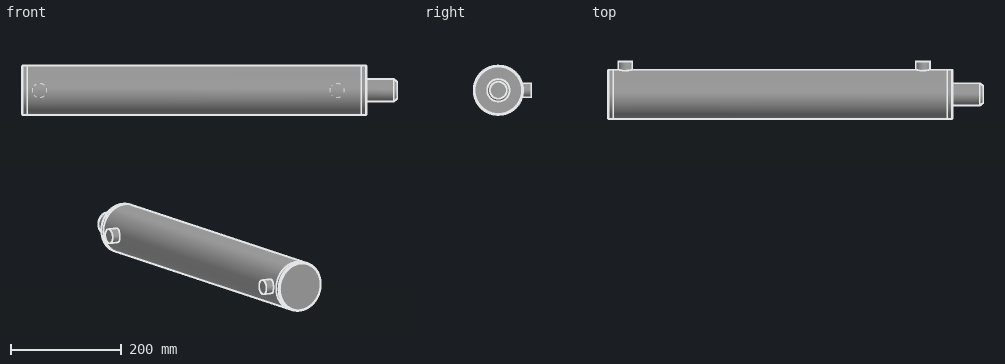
import cadquery as cq

total_length = 680.0

barrel_diameter = 90.0
body_length = 625.0
end_thickness = 10.0
end_chamfer = 2.0

rod_diameter = 41.0
rod_tip_diameter = 30.5
rod_tip_length = 6.0

port_diameter = 26.0
port_height = 15.0
first_port_x = 32.0
port_count = 2
port_spacing = 538.5

barrel_radius = barrel_diameter / 2
barrel_length = body_length - 2 * end_thickness
gland_x = body_length - end_thickness


def cylinder_along_x(start_x, length, diameter):
    """Cylinder on the X axis, from start_x towards +X."""
    return cq.Workplane("YZ", origin=(start_x, 0, 0)).circle(diameter / 2).extrude(length)


def make_end_cap():
    """Closed end: a disc with its outer rim chamfered."""
    disc = cylinder_along_x(0, end_thickness, barrel_diameter)
    return disc.faces("<X").chamfer(end_chamfer)


def make_barrel():
    """Main cylinder between the end cap and the gland."""
    return cylinder_along_x(end_thickness, barrel_length, barrel_diameter)


def make_gland():
    """Rod-side end: a disc with its outer rim chamfered."""
    disc = cylinder_along_x(gland_x, end_thickness, barrel_diameter)
    return disc.faces(">X").chamfer(end_chamfer)


def make_rod():
    """Rod standing on the gland face, with a tapered tip."""
    profile = (
        cq.Workplane("XY")
        .moveTo(body_length, 0)
        .lineTo(body_length, rod_diameter / 2)
        .lineTo(total_length - rod_tip_length, rod_diameter / 2)
        .lineTo(total_length, rod_tip_diameter / 2)
        .lineTo(total_length, 0)
        .close()
    )
    return profile.revolve(360, (0, 0, 0), (1, 0, 0))


def make_port(center_x):
    """Round boss with its base saddled onto the barrel."""
    top_y = barrel_radius + port_height
    boss = cq.Workplane("XZ", origin=(center_x, 0, 0)).circle(port_diameter / 2).extrude(-top_y)
    return boss.cut(make_barrel())


end_cap = make_end_cap()
barrel = make_barrel()
gland = make_gland()
rod = make_rod()
ports = [make_port(first_port_x + index * port_spacing) for index in range(port_count)]

result = cq.Compound.makeCompound(
    [end_cap.val(), barrel.val(), gland.val(), rod.val(), *[port.val() for port in ports]]
)